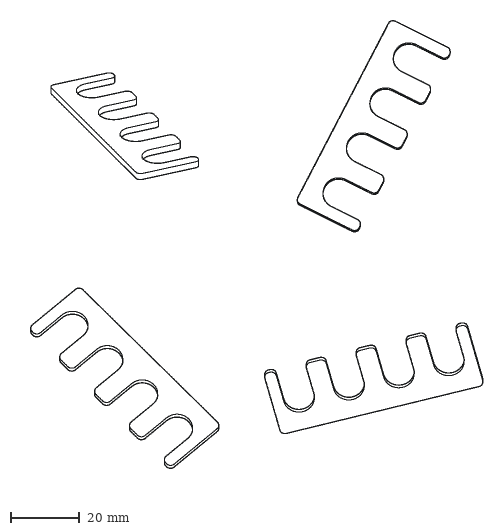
import cadquery as cq

length = 61.0
depth = 20.0
thickness = 2.0
corner_radius = 1.5

slot_count = 4
slot_pitch = 15.0
slot_width = 9.0
slot_radius = slot_width / 2
slot_center_y = 0.0


def slot_cutter(center_x):
    """U-shaped cutter running from its round end out through the +Y edge."""
    straight_length = depth / 2 - slot_center_y
    return (
        cq.Workplane("XY")
        .moveTo(center_x - slot_radius, slot_center_y)
        .threePointArc(
            (center_x, slot_center_y - slot_radius),
            (center_x + slot_radius, slot_center_y),
        )
        .vLine(straight_length)
        .hLine(-slot_width)
        .close()
        .extrude(thickness)
    )


plate = cq.Workplane("XY").box(length, depth, thickness, centered=(True, True, False))

for index in range(slot_count):
    slot_x = (index - (slot_count - 1) / 2) * slot_pitch
    plate = plate.cut(slot_cutter(slot_x))

finger_tip_edges = plate.faces(">Y").edges("|Z")
rear_corner_edges = plate.faces("<Y").edges("|Z")
result = plate.newObject(finger_tip_edges.vals() + rear_corner_edges.vals()).fillet(corner_radius)